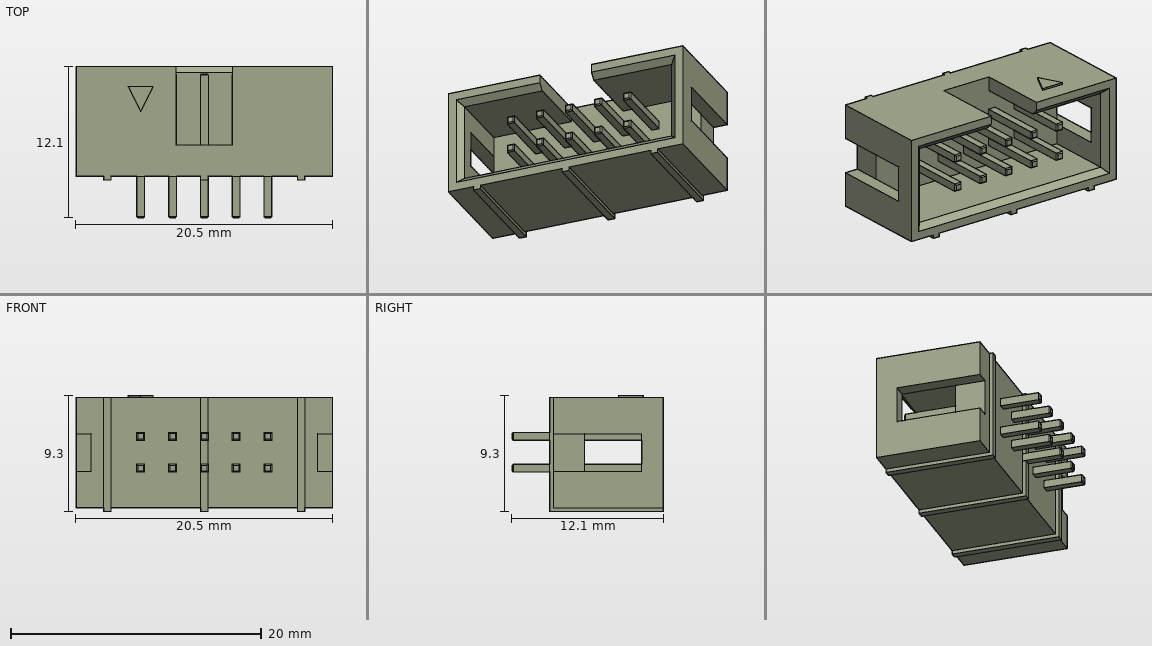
import cadquery as cq


BODY_LENGTH = 20.5
BODY_DEPTH = 8.8
BODY_HEIGHT = 8.85
WALL = 1.2
CAVITY_DEPTH = 6.3
MOUTH_CHAMFER = 0.5

KEY_WIDTH = 4.5
LATCH_HEIGHT = 3.0
LATCH_END_MARGIN = 1.75

PITCH = 2.54
COLUMNS = 5
ROWS = 2
PIN_SIZE = 0.64
PIN_TAIL = 3.3
PIN_TIP_RECESS = 0.6
PIN_CHAMFER = 0.1
GRID_OFFSET = 0.025

RIB_WIDTH = 0.6
RIB_HEIGHT = 0.3
RIB_SPACING = 7.75

MARKER_SIZE = 2.0
MARKER_HEIGHT = 0.15
MARKER_END_MARGIN = 1.6

BODY_TOP = BODY_HEIGHT / 2
FLOOR_Y = BODY_DEPTH - CAVITY_DEPTH
CAVITY_LENGTH = BODY_LENGTH - 2 * WALL
CAVITY_HEIGHT = BODY_HEIGHT - 2 * WALL
FIRST_COLUMN_X = -(COLUMNS - 1) / 2 * PITCH
FIRST_ROW_Z = GRID_OFFSET - (ROWS - 1) / 2 * PITCH


def block(x_range, y_range, z_range):
    """Axis-aligned box between the given limits."""
    lows, highs = zip(x_range, y_range, z_range)
    sizes = [high - low for low, high in zip(lows, highs)]
    return cq.Workplane("XY").box(*sizes, centered=False).translate(lows)


def centered_block(x_size, y_range, z_size, x=0, z=0):
    """Box centred on x and z, spanning y_range."""
    return block(
        (x - x_size / 2, x + x_size / 2),
        y_range,
        (z - z_size / 2, z + z_size / 2),
    )


def make_shroud():
    """Box open at the mating end, with a chamfer around the cavity mouth."""
    body = centered_block(BODY_LENGTH, (0, BODY_DEPTH), BODY_HEIGHT)
    cavity = centered_block(CAVITY_LENGTH, (FLOOR_Y, BODY_DEPTH), CAVITY_HEIGHT)
    mouth_edges = body.cut(cavity).faces(">Y").wires(cq.selectors.LengthNthSelector(0))
    return mouth_edges.chamfer(MOUTH_CHAMFER)


def make_key_slot():
    """Polarising notch through the upper wall, down to the cavity floor."""
    return block(
        (-KEY_WIDTH / 2, KEY_WIDTH / 2),
        (FLOOR_Y, BODY_DEPTH),
        (BODY_TOP - WALL, BODY_TOP),
    )


def make_latch_slot(side):
    """Slot through one end wall, open at the rear face."""
    return centered_block(
        WALL,
        (0, BODY_DEPTH - LATCH_END_MARGIN),
        LATCH_HEIGHT,
        x=side * (BODY_LENGTH - WALL) / 2,
    )


def make_rib(x):
    """L-shaped standoff rib along the rear face and the underside."""
    x_range = (x - RIB_WIDTH / 2, x + RIB_WIDTH / 2)
    body_bottom = -BODY_TOP
    rib_bottom = body_bottom - RIB_HEIGHT
    rear_leg = block(x_range, (-RIB_HEIGHT, 0), (rib_bottom, BODY_TOP))
    bottom_leg = block(x_range, (-RIB_HEIGHT, BODY_DEPTH), (rib_bottom, body_bottom))
    return rear_leg.union(bottom_leg)


def make_pin(x, z):
    """Square contact with chamfered tips."""
    pin = centered_block(PIN_SIZE, (-PIN_TAIL, BODY_DEPTH - PIN_TIP_RECESS), PIN_SIZE, x, z)
    return pin.faces("<Y or >Y").edges().chamfer(PIN_CHAMFER)


def make_marker():
    """Raised triangle above the first column, pointing to the rear."""
    base_y = BODY_DEPTH - MARKER_END_MARGIN
    outline = [
        (FIRST_COLUMN_X - MARKER_SIZE / 2, base_y),
        (FIRST_COLUMN_X + MARKER_SIZE / 2, base_y),
        (FIRST_COLUMN_X, base_y - MARKER_SIZE),
    ]
    return cq.Workplane("XY", origin=(0, 0, BODY_TOP)).polyline(outline).close().extrude(MARKER_HEIGHT)


result = make_shroud().cut(make_key_slot())

for side in (-1, 1):
    result = result.cut(make_latch_slot(side))

for rib_x in (-RIB_SPACING, 0, RIB_SPACING):
    result = result.union(make_rib(rib_x))

for column in range(COLUMNS):
    for row in range(ROWS):
        pin_x = FIRST_COLUMN_X + column * PITCH
        pin_z = FIRST_ROW_Z + row * PITCH
        result = result.union(make_pin(pin_x, pin_z))

result = result.union(make_marker())